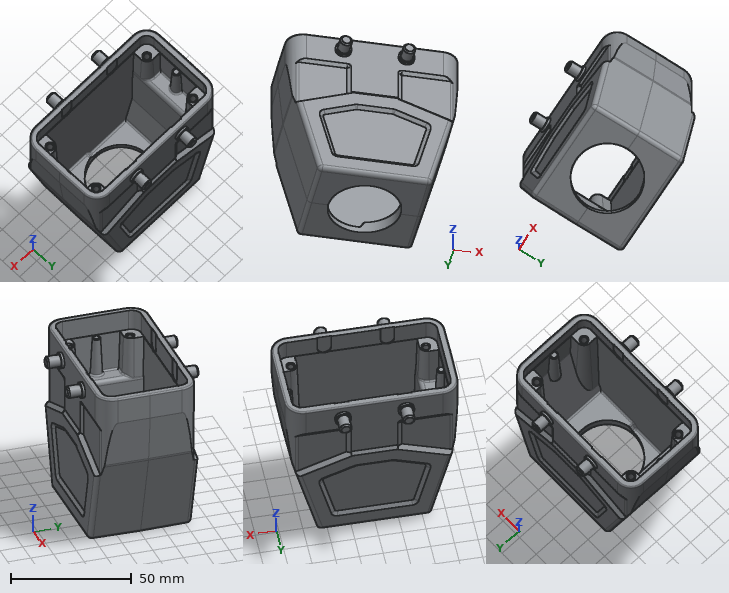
import cadquery as cq
import math


LENGTH = 73.0
HEIGHT = 72.0
HALF_LENGTH = LENGTH / 2
COLLAR_HALF_WIDTH = 21.45
COLLAR_CORNER_RADIUS = 7.5
RIM_FILLET = 0.65
DRAFT = 0.5
TAPER_START_Z = -11.25
KINK_Z = -31.8
KINK_HALF_LENGTH = 34.5
KINK_FILLET = 5.5
BASE_HALF_LENGTH = 23.95
BODY_HALF_WIDTH = 22.6
BODY_FILLET = 2.05
END_SLOPE = (KINK_HALF_LENGTH - BASE_HALF_LENGTH) / (HEIGHT + KINK_Z)

SHOULDER_Z = -29.3
SHOULDER_HALF_LENGTH = 9.35
SHOULDER_ANGLE = 20.0
SHOULDER_BEVEL = 1.45

PANEL_HALF_WIDTH = 20.5
PANEL_TOP_Z = -14.9
PANEL_INNER_X = 11.6
PANEL_WALL_RUN = 1.75
PANEL_END_FILLET = 2.0

LABEL_DEPTH = 1.25
LABEL_WALL_RUN = 1.75
LABEL_TOP_Z = -37.0
LABEL_TOP_HALF_LENGTH = 7.7
LABEL_BOTTOM_Z = -62.8
LABEL_SIDE_INSET = 9.85
LABEL_CORNER_RADIUS = 1.0

PIN_SPACING = 26.65
PIN_Z = -6.35
PIN_SPAN = 57.0
PIN_RADIUS = 2.55
PIN_CHAMFER = 0.65
PIN_FLANGE_RADIUS = 3.35
PIN_FLANGE_Y = 22.6
PIN_SLOT_WIDTH = 5.85
PIN_SLOT_DEPTH = 0.3

MOUTH_HALF_LENGTH = 33.5
MOUTH_HALF_WIDTH = 18.55
MOUTH_CORNER_RADIUS = 4.15
MOUTH_DEPTH = 8.9
CAVITY_STEP = 0.15
CAVITY_DRAFT = 0.8
LEDGE_Z = -26.3
LEDGE_EDGE_X = -24.9
LEDGE_ROUND = 2.0
LEDGE_FILLET = 0.7
LEFT_WALL_BEND = (-24.15, -54.0)
FLOOR_LEFT_X = -20.15
FLOOR_RIGHT_X = 22.6
LEFT_FLOOR_Z = -69.05
RIGHT_FLOOR_Z = -66.4
FLOOR_STEP_START_X = 1.2
FLOOR_STEP_END_X = 2.9
FLOOR_FILLET = 0.9
CABLE_HOLE_RADIUS = 15.25

BOSS_INNER_X = 25.8
BOSS_INNER_Y = 10.65
BOSS_CORNER_RADIUS = 3.35
BOSS_DRAFT = 2.0
SCREW_X = 28.5
SCREW_Y = 13.4
SCREW_RADIUS = 1.4
SCREW_CHAMFER = 0.5
SCREW_DEPTH = 14.6

POST_X = 32.3
POST_TOP_Z = -9.35
POST_TOP_RADIUS = 1.75
POST_BASE_RADIUS = 2.55
POST_CHAMFER = 0.45

CLEARANCE = 7.3
PICK_MARGIN = 0.1
SIDES = (-1, 1)


def body_half_length(z):
    """Half length of the lower body at height z, along its sloped ends."""
    return KINK_HALF_LENGTH - END_SLOPE * (KINK_Z - z)


def mirrored(right_half):
    """Close an outline by adding the mirror image of its right half."""
    return right_half + [(-x, z) for x, z in reversed(right_half)]


def facing_side(y, side):
    """XZ sketch plane at distance y from the parting plane, facing outward."""
    return cq.Workplane(cq.Plane(origin=(0, side * y, 0), xDir=(1, 0, 0), normal=(0, side, 0)))


def facing_down(z):
    """XY sketch plane at height z, facing down; its own y axis runs along -Y."""
    return cq.Workplane(cq.Plane(origin=(0, 0, z), xDir=(1, 0, 0), normal=(0, 0, -1)))


def sketched(points, side):
    """Points given as (x, z), in the coordinates of a plane facing that side."""
    return [(x, -side * z) for x, z in points]


def prism(points, y_start, y_end, side, taper=0.0, corner_radius=0.0):
    """Extrude an XZ outline outward from y_start to y_end on one side."""
    outline = cq.Sketch().polygon(sketched(points + points[:1], side))
    if corner_radius:
        outline = outline.vertices().fillet(corner_radius)
    return facing_side(y_start, side).placeSketch(outline).extrude(y_end - y_start, taper=taper)


def collar():
    """Rounded rectangular upper part, with its end walls leaning in."""
    corner_x = HALF_LENGTH - COLLAR_HALF_WIDTH * math.tan(math.radians(DRAFT))
    outline = [
        (HALF_LENGTH, 0),
        (corner_x, COLLAR_HALF_WIDTH),
        (-corner_x, COLLAR_HALF_WIDTH),
        (-HALF_LENGTH, 0),
        (-corner_x, -COLLAR_HALF_WIDTH),
        (corner_x, -COLLAR_HALF_WIDTH),
    ]
    depth = -SHOULDER_Z + 2 * CLEARANCE
    block = (
        cq.Workplane("XY").polyline(outline).close().extrude(-depth)
        .edges("|Z").edges(">Y or <Y").fillet(COLLAR_CORNER_RADIUS)
        .faces(">Z").edges().fillet(RIM_FILLET)
    )
    profile = mirrored([
        (HALF_LENGTH, CLEARANCE),
        (HALF_LENGTH, TAPER_START_Z),
        (KINK_HALF_LENGTH, KINK_Z),
        (BASE_HALF_LENGTH, -HEIGHT),
    ])
    kink_edges = cq.selectors.BoxSelector(
        (-HALF_LENGTH, -HALF_LENGTH, KINK_Z - PICK_MARGIN), (HALF_LENGTH, HALF_LENGTH, KINK_Z + PICK_MARGIN))
    envelope = cq.Workplane("XY")
    for side in SIDES:
        half = prism(profile, 0, COLLAR_HALF_WIDTH + CLEARANCE, side, taper=DRAFT)
        envelope = envelope.add(half.edges(kink_edges).fillet(KINK_FILLET))
    return block.intersect(envelope.combine())


def panel_recess(side_x, side):
    """Recess above the shoulder, open toward the end of the part."""
    depth = COLLAR_HALF_WIDTH - PANEL_HALF_WIDTH
    outer_y = COLLAR_HALF_WIDTH + depth
    far_x = HALF_LENGTH + CLEARANCE
    low_z = SHOULDER_Z - 2 * CLEARANCE
    outline = [
        (side_x * PANEL_INNER_X, PANEL_TOP_Z),
        (side_x * far_x, PANEL_TOP_Z),
        (side_x * far_x, low_z),
        (side_x * PANEL_INNER_X, low_z),
    ]
    flare = math.degrees(math.atan2(PANEL_WALL_RUN, depth))
    return prism(outline, PANEL_HALF_WIDTH, outer_y, side, taper=-flare)


def shoulder_outline(rise):
    """Everything under the shoulder line, with that line raised square to itself."""
    far_x = HALF_LENGTH + CLEARANCE
    bend_x = SHOULDER_HALF_LENGTH + rise * math.tan(math.radians(SHOULDER_ANGLE / 2))
    bend_z = SHOULDER_Z + rise
    drop = (far_x - bend_x) * math.tan(math.radians(SHOULDER_ANGLE))
    return mirrored([(bend_x, bend_z), (far_x, bend_z - drop), (far_x, -HEIGHT - CLEARANCE)])


def shoulder_bevel(y_start, side):
    """Region under a bevel that falls from the wall at y_start to the body face."""
    slant = math.degrees(math.atan2(SHOULDER_BEVEL, BODY_HALF_WIDTH - y_start))
    return prism(shoulder_outline(SHOULDER_BEVEL), y_start, BODY_HALF_WIDTH, side, taper=slant)


def lower_body():
    """Tapered body, cut off along the bevelled shoulder."""
    top_z = SHOULDER_Z + CLEARANCE
    profile = mirrored([(body_half_length(top_z), top_z), (BASE_HALF_LENGTH, -HEIGHT)])
    middle_half_length = PANEL_INNER_X - PANEL_WALL_RUN
    middle = cq.Workplane("XY").box(2 * middle_half_length, 4 * BODY_HALF_WIDTH, 4 * HEIGHT)
    body = cq.Workplane("XY")
    for side in SIDES:
        core = prism(shoulder_outline(SHOULDER_BEVEL), 0, PANEL_HALF_WIDTH, side)
        middle_core = prism(shoulder_outline(SHOULDER_BEVEL), 0, COLLAR_HALF_WIDTH, side)
        middle_part = middle_core.union(shoulder_bevel(COLLAR_HALF_WIDTH, side)).intersect(middle)
        side_part = core.union(shoulder_bevel(PANEL_HALF_WIDTH, side))
        half = prism(profile, 0, BODY_HALF_WIDTH, side, taper=DRAFT)
        outer_edges = cq.selectors.BoxSelector(
            (-HALF_LENGTH, side * PICK_MARGIN, -HEIGHT - PICK_MARGIN),
            (HALF_LENGTH, side * HALF_LENGTH, top_z - PICK_MARGIN))
        half = half.edges(outer_edges).fillet(BODY_FILLET)
        body = body.add(half.intersect(side_part.union(middle_part)))
    return body.combine()


def label_pocket(side):
    """Five-sided pocket whose walls flare outward from its floor."""
    slope = math.tan(math.radians(SHOULDER_ANGLE))
    side_x_at_top = body_half_length(LABEL_TOP_Z) - LABEL_SIDE_INSET
    drop = (side_x_at_top - LABEL_TOP_HALF_LENGTH) * slope / (1 + END_SLOPE * slope)
    corner_z = LABEL_TOP_Z - drop
    outline = mirrored([
        (LABEL_TOP_HALF_LENGTH, LABEL_TOP_Z),
        (body_half_length(corner_z) - LABEL_SIDE_INSET, corner_z),
        (body_half_length(LABEL_BOTTOM_Z) - LABEL_SIDE_INSET, LABEL_BOTTOM_Z),
    ])
    flare = math.degrees(math.atan2(LABEL_WALL_RUN, LABEL_DEPTH))
    floor_y = BODY_HALF_WIDTH - LABEL_DEPTH
    return prism(outline, floor_y, BODY_HALF_WIDTH, side, -flare, LABEL_CORNER_RADIUS)


def locking_pin(x, side):
    """Round pin with a flange, rooted in the side wall."""
    root_y = (MOUTH_HALF_WIDTH + COLLAR_HALF_WIDTH) / 2
    center = [(x, -side * PIN_Z)]
    flange = facing_side(root_y, side).pushPoints(center).circle(PIN_FLANGE_RADIUS)
    pin = facing_side(root_y, side).pushPoints(center).circle(PIN_RADIUS)
    tip = ">Y" if side > 0 else "<Y"
    return (
        pin.extrude(PIN_SPAN / 2 - root_y).faces(tip).chamfer(PIN_CHAMFER)
        .union(flange.extrude(PIN_FLANGE_Y - root_y))
    )


def corner_boss(side_x, side_y):
    """Block that widens downward, reaching from its rounded inner corner into the walls."""
    reach_x = HALF_LENGTH + CLEARANCE - BOSS_INNER_X
    reach_y = COLLAR_HALF_WIDTH + CLEARANCE - BOSS_INNER_Y
    outline = (
        cq.Sketch().rect(reach_x, reach_y).vertices().fillet(BOSS_CORNER_RADIUS)
        .moved(cq.Location(cq.Vector(
            side_x * (BOSS_INNER_X + reach_x / 2), side_y * -(BOSS_INNER_Y + reach_y / 2)))))
    return facing_down(-MOUTH_DEPTH).placeSketch(outline).extrude(HEIGHT - MOUTH_DEPTH, taper=-BOSS_DRAFT)


def keying_post(side_x):
    """Cone with a bevelled tip, standing partly inside the end wall."""
    flare = (POST_BASE_RADIUS - POST_TOP_RADIUS) / (POST_TOP_Z - LEDGE_Z)
    root_z = LEDGE_Z - CLEARANCE
    root_radius = POST_BASE_RADIUS + CLEARANCE * flare
    half_section = [
        (0, root_z),
        (root_radius, root_z),
        (POST_TOP_RADIUS, POST_TOP_Z - POST_CHAMFER),
        (POST_TOP_RADIUS - POST_CHAMFER, POST_TOP_Z),
        (0, POST_TOP_Z),
    ]
    post = cq.Workplane("XZ").polyline(half_section).close().revolve(360, (0, 0), (0, 1))
    return post.translate((side_x * POST_X, 0, 0))


def plain_chamber():
    """Drafted hollow below the mouth, with a ledge on the left and a stepped floor."""
    chamber_half_length = MOUTH_HALF_LENGTH - CAVITY_STEP
    chamber_half_width = MOUTH_HALF_WIDTH - CAVITY_STEP
    chamber_outline = (
        cq.Sketch().rect(2 * chamber_half_length, 2 * chamber_half_width)
        .vertices().fillet(MOUTH_CORNER_RADIUS)
    )
    chamber = (
        facing_down(-MOUTH_DEPTH)
        .placeSketch(chamber_outline).extrude(HEIGHT - MOUTH_DEPTH, taper=CAVITY_DRAFT)
    )
    lengthwise = (
        cq.Workplane("XZ").polyline([
            (-HALF_LENGTH, -MOUTH_DEPTH),
            (-HALF_LENGTH, LEDGE_Z),
            (LEDGE_EDGE_X, LEDGE_Z),
            LEFT_WALL_BEND,
            (FLOOR_LEFT_X, LEFT_FLOOR_Z),
            (FLOOR_STEP_START_X, LEFT_FLOOR_Z),
            (FLOOR_STEP_END_X, RIGHT_FLOOR_Z),
            (FLOOR_RIGHT_X, RIGHT_FLOOR_Z),
            (chamber_half_length, LEDGE_Z),
            (HALF_LENGTH, LEDGE_Z),
            (HALF_LENGTH, -MOUTH_DEPTH),
        ]).close().extrude(HALF_LENGTH, both=True)
    )
    ledge_edge = cq.selectors.NearestToPointSelector((LEDGE_EDGE_X, 0, LEDGE_Z))
    lengthwise = lengthwise.edges(ledge_edge).fillet(LEDGE_ROUND)
    chamber = chamber.intersect(lengthwise)
    floor_edges = cq.selectors.BoxSelector(
        (FLOOR_LEFT_X - PICK_MARGIN, -HALF_LENGTH, LEFT_FLOOR_Z - PICK_MARGIN),
        (FLOOR_RIGHT_X + PICK_MARGIN, HALF_LENGTH, RIGHT_FLOOR_Z + PICK_MARGIN))
    return chamber.edges(floor_edges).fillet(FLOOR_FILLET)


def cavity():
    """Hollow of the hood, leaving the screw bosses and keying posts standing."""
    mouth = (
        cq.Workplane("XY").rect(2 * MOUTH_HALF_LENGTH, 2 * MOUTH_HALF_WIDTH).extrude(-MOUTH_DEPTH)
        .edges("|Z").fillet(MOUTH_CORNER_RADIUS)
    )
    chamber = plain_chamber()
    for side_x in SIDES:
        for side_y in SIDES:
            chamber = chamber.cut(corner_boss(side_x, side_y))
        chamber = chamber.cut(keying_post(side_x))
    ledge_outline = cq.selectors.BoxSelector(
        (-HALF_LENGTH, -HALF_LENGTH, LEDGE_Z - PICK_MARGIN),
        (LEDGE_EDGE_X - LEDGE_ROUND - PICK_MARGIN, HALF_LENGTH, LEDGE_Z + PICK_MARGIN))
    chamber = chamber.edges(ledge_outline).fillet(LEDGE_FILLET)
    return mouth.union(chamber)


def pin_slot(x, side):
    """Shallow slot with a round lower end, inside the rim behind a pin."""
    radius = PIN_SLOT_WIDTH / 2
    slot_y = MOUTH_HALF_WIDTH + PIN_SLOT_DEPTH
    upright = cq.Workplane("XY").box(PIN_SLOT_WIDTH, slot_y, -PIN_Z, centered=(True, False, False))
    upright = upright.translate((x, 0 if side > 0 else -slot_y, PIN_Z))
    round_end = facing_side(0, side).pushPoints([(x, -side * PIN_Z)]).circle(radius).extrude(slot_y)
    return upright.union(round_end)


def screw_hole(x, y):
    """Blind hole with a bevelled mouth in the top of a screw boss."""
    hole = cq.Workplane("XY", origin=(x, y, -MOUTH_DEPTH)).circle(SCREW_RADIUS).extrude(-SCREW_DEPTH)
    mouth = (
        cq.Workplane("XY", origin=(x, y, -MOUTH_DEPTH)).circle(SCREW_RADIUS + SCREW_CHAMFER)
        .extrude(-SCREW_CHAMFER, taper=45)
    )
    return hole.union(mouth)


hood = collar()
for side_y in SIDES:
    for side_x in SIDES:
        hood = hood.cut(panel_recess(side_x, side_y))
panel_ends = cq.selectors.BoxSelector(
    (-HALF_LENGTH, -PANEL_HALF_WIDTH - PICK_MARGIN, KINK_Z),
    (HALF_LENGTH, PANEL_HALF_WIDTH + PICK_MARGIN, PANEL_TOP_Z))
hood = hood.edges(panel_ends).edges("|Z").edges("<X or >X").fillet(PANEL_END_FILLET)
hood = hood.union(lower_body())

for side_y in SIDES:
    hood = hood.cut(label_pocket(side_y))
    for side_x in SIDES:
        hood = hood.union(locking_pin(side_x * PIN_SPACING / 2, side_y))

hood = hood.cut(cavity())
for side_y in SIDES:
    for side_x in SIDES:
        hood = hood.cut(pin_slot(side_x * PIN_SPACING / 2, side_y))
        hood = hood.cut(screw_hole(side_x * SCREW_X, side_y * SCREW_Y))

cable_hole = cq.Workplane("XY", origin=(0, 0, -HEIGHT - CLEARANCE)).circle(CABLE_HOLE_RADIUS)
hood = hood.cut(cable_hole.extrude(HEIGHT / 2))

result = hood